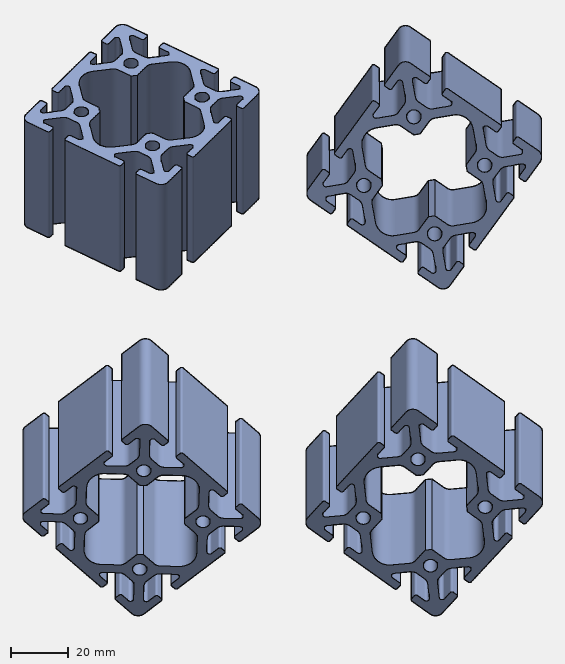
import cadquery as cq
import math

side = 60.0
length = 50.0
corner_radius = 3.0

slot_pitch = side / 2
slot_mouth = 6.35
lip_thickness = 3.0
lip_radius = 0.7
slot_tip_radius = 1.0

boss_width = 10.6
boss_chamfer = 1.6
rib_thickness = 3.4
rib_root_radius = 3.0
screw_hole_diameter = 5.0

cavity_tip_radius = 6.0

half_side = side / 2
half_pitch = slot_pitch / 2
half_boss = boss_width / 2
rib_offset = rib_thickness / math.sqrt(2)


def slot_corners(centre_x):
    """(x, y, radius) corners of one slot in the -Y side, from left to right."""
    face_y = -half_side
    lip_y = face_y + lip_thickness
    floor_y = -half_pitch - half_boss
    half_mouth = slot_mouth / 2
    half_floor = half_boss - rib_offset
    half_tip = half_floor + floor_y - lip_y
    left_half = [
        (-half_mouth, face_y, lip_radius),
        (-half_mouth, lip_y, lip_radius),
        (-half_tip, lip_y, slot_tip_radius),
        (-half_floor, floor_y, rib_root_radius),
    ]
    right_half = [(-x, y, radius) for x, y, radius in reversed(left_half)]
    return [(centre_x + x, y, radius) for x, y, radius in left_half + right_half]


def outer_corners():
    """Corners of the -Y side: the outside corner, then both slots."""
    outside_corner = [(-half_side, -half_side, corner_radius)]
    return outside_corner + slot_corners(-half_pitch) + slot_corners(half_pitch)


def cavity_corners():
    """Corners of the central cavity from its -Y tip around the +X, -Y boss."""
    boss_near = half_pitch - half_boss
    tip = slot_pitch - rib_offset
    root_reach = tip - boss_near
    chamfer_end = boss_near + boss_chamfer
    return [
        (0, -tip, cavity_tip_radius),
        (boss_near, -root_reach, rib_root_radius),
        (boss_near, -chamfer_end, 0),
        (chamfer_end, -boss_near, 0),
        (root_reach, -boss_near, rib_root_radius),
    ]


def around_four_sides(corners):
    """Repeat one side's corners by counter-clockwise quarter turns."""
    ring = []
    for _ in range(4):
        ring += corners
        corners = [(-y, x, radius) for x, y, radius in corners]
    return ring


def rounded_prism(corners):
    """Extrude a closed outline whose corners are rounded by tangent arcs."""
    outline = None
    for i, (x, y, radius) in enumerate(corners):
        corner = cq.Vector(x, y)
        before = cq.Vector(*corners[i - 1][:2])
        after = cq.Vector(*corners[(i + 1) % len(corners)][:2])
        to_before = (before - corner).normalized()
        to_after = (after - corner).normalized()
        half_angle = to_before.getAngle(to_after) / 2
        setback = radius / math.tan(half_angle)
        start = corner + to_before * setback
        if outline is None:
            outline = cq.Workplane("XY").moveTo(start.x, start.y)
        else:
            outline = outline.lineTo(start.x, start.y)
        if radius > 0:
            bisector = (to_before + to_after).normalized()
            middle = corner + bisector * (radius / math.sin(half_angle) - radius)
            end = corner + to_after * setback
            outline = outline.threePointArc((middle.x, middle.y), (end.x, end.y))
    return outline.close().extrude(length)


body = rounded_prism(around_four_sides(outer_corners()))
cavity = rounded_prism(around_four_sides(cavity_corners()))
screw_holes = (
    cq.Workplane("XY")
    .rarray(slot_pitch, slot_pitch, 2, 2)
    .circle(screw_hole_diameter / 2)
    .extrude(length)
)

result = body.cut(cavity).cut(screw_holes)